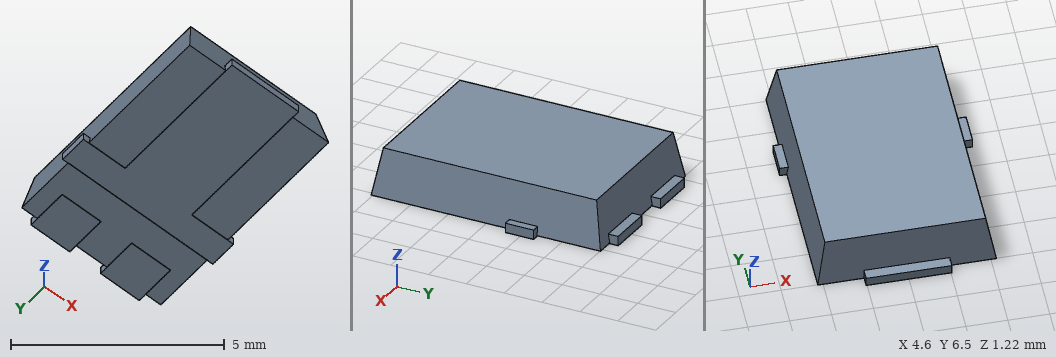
import cadquery as cq
import math

overall_width = 4.6
overall_length = 6.5
overall_height = 1.22

standoff = 0.02
body_width = 4.265
body_length = 6.06
draft_angle = 10.0

lead_thickness = 0.25
front_tab_width = 2.05
side_tab_start = 0.605
side_tab_end = 1.35
rear_lead_width = 1.19
rear_lead_length = 1.125
rear_lead_offset = 1.065

front_edge = -overall_length / 2
rear_edge = overall_length / 2


def flat_lead(center_x, width, y_start, y_end):
    """Flat bar on the bottom plane between two Y positions."""
    return (
        cq.Workplane("XY")
        .center(center_x, (y_start + y_end) / 2)
        .rect(width, y_end - y_start)
        .extrude(lead_thickness)
    )


def tapered_body():
    """Rectangular body whose four walls lean inward towards the top."""
    body_height = overall_height - standoff
    inset = body_height * math.tan(math.radians(draft_angle))
    return (
        cq.Workplane("XY")
        .workplane(offset=standoff)
        .rect(body_width, body_length)
        .workplane(offset=body_height)
        .rect(body_width - 2 * inset, body_length - 2 * inset)
        .loft(ruled=True)
    )


result = tapered_body()

result = result.union(flat_lead(0, front_tab_width, front_edge, side_tab_end))
result = result.union(flat_lead(0, overall_width, side_tab_start, side_tab_end))

for side in (-1, 1):
    rear_lead = flat_lead(side * rear_lead_offset, rear_lead_width, rear_edge - rear_lead_length, rear_edge)
    result = result.union(rear_lead)